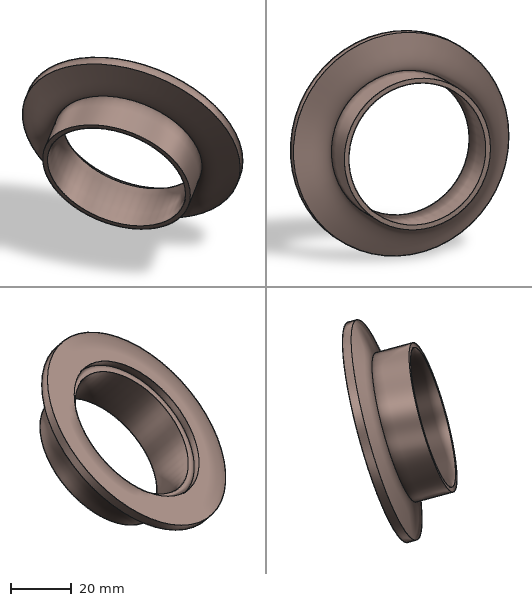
import cadquery as cq
import math

flange_diameter = 74.93
total_length = 19.05
tube_diameter = 50.8
tube_wall = 1.65
rim_thickness = 3.05
recess_diameter = 52.45
recess_depth = 2.54
taper_angle = 15.0

flange_radius = flange_diameter / 2
tube_radius = tube_diameter / 2
bore_radius = tube_radius - tube_wall
recess_radius = recess_diameter / 2
taper_height = (flange_radius - tube_radius) * math.tan(math.radians(taper_angle))

sealing_face_y = 0.0
recess_floor_y = sealing_face_y - recess_depth
rim_back_y = sealing_face_y - rim_thickness
taper_end_y = rim_back_y - taper_height
tube_end_y = sealing_face_y - total_length


def flange_profile():
    """Half section in the XY plane, on the +X side of the axis."""
    return (
        cq.Workplane("XY")
        .moveTo(recess_radius, sealing_face_y)
        .lineTo(flange_radius, sealing_face_y)
        .lineTo(flange_radius, rim_back_y)
        .lineTo(tube_radius, taper_end_y)
        .lineTo(tube_radius, tube_end_y)
        .lineTo(bore_radius, tube_end_y)
        .lineTo(bore_radius, recess_floor_y)
        .lineTo(recess_radius, recess_floor_y)
        .close()
    )


result = flange_profile().revolve(360, (0, 0, 0), (0, 1, 0))